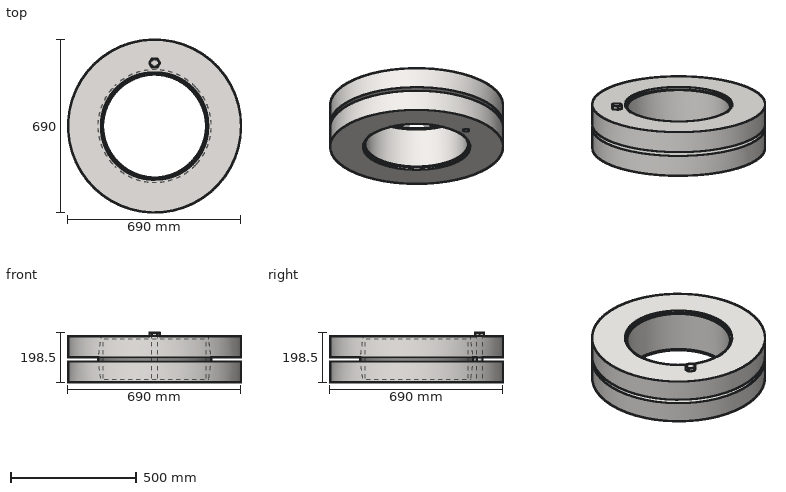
import cadquery as cq
import math

disc_diameter = 690.0
disc_thickness = 84.0
disc_gap = 16.0
disc_end_bore = 426.5

ring_bore = 410.0
ridge_diameter = 452.0
ring_recess = 11.0

bolt_offset = 251.0
shank_diameter = 24.0
head_across_flats = 36.0
head_height = 14.5
head_chamfer_angle = 20.0

disc_inner_z = disc_gap / 2
disc_outer_z = disc_inner_z + disc_thickness
ring_end_z = disc_outer_z - ring_recess
taper_slope = (ridge_diameter - disc_end_bore) / 2 / disc_outer_z


def taper_radius(z):
    """Radius of the mating cones at height z above or below the ridge."""
    return ridge_diameter / 2 - taper_slope * abs(z)


def revolve_profile(points):
    """Revolve (radius, height) points a full turn about the Z axis."""
    return cq.Workplane("XZ").polyline(points).close().revolve(360, (0, 0, 0), (0, 1, 0))


def make_disc(side):
    """Disc with a tapered bore and a bolt hole; side is +1 for upper, -1 for lower."""
    disc = revolve_profile([
        (taper_radius(disc_inner_z), side * disc_inner_z),
        (disc_diameter / 2, side * disc_inner_z),
        (disc_diameter / 2, side * disc_outer_z),
        (taper_radius(disc_outer_z), side * disc_outer_z),
    ])
    bolt_hole = (
        cq.Workplane("XY", origin=(0, bolt_offset, -disc_outer_z))
        .circle(shank_diameter / 2)
        .extrude(2 * disc_outer_z)
    )
    return disc.cut(bolt_hole)


def make_inner_ring():
    """Ring tapering from a central ridge to both ends, around a straight bore."""
    return revolve_profile([
        (ring_bore / 2, -ring_end_z),
        (taper_radius(ring_end_z), -ring_end_z),
        (ridge_diameter / 2, 0),
        (taper_radius(ring_end_z), ring_end_z),
        (ring_bore / 2, ring_end_z),
    ])


def make_bolt():
    """Hex bolt with chamfered head corners; its shank ends flush with the lower disc."""
    across_corners = head_across_flats / math.cos(math.pi / 6)
    head = cq.Workplane("XY").polygon(6, across_corners).extrude(head_height)

    chamfer_width = (across_corners - head_across_flats) / 2
    chamfer_drop = chamfer_width * math.tan(math.radians(head_chamfer_angle))
    trim_cone = revolve_profile([
        (0, 0),
        (across_corners / 2, 0),
        (across_corners / 2, head_height - chamfer_drop),
        (head_across_flats / 2, head_height),
        (0, head_height),
    ])
    shank = cq.Workplane("XY").circle(shank_diameter / 2).extrude(-2 * disc_outer_z)
    return head.intersect(trim_cone).union(shank).translate((0, bolt_offset, disc_outer_z))


discs = [make_disc(side) for side in (1, -1)]
inner_ring = make_inner_ring()
bolt = make_bolt()

result = cq.Compound.makeCompound([
    *[disc.val() for disc in discs],
    inner_ring.val(),
    bolt.val(),
])